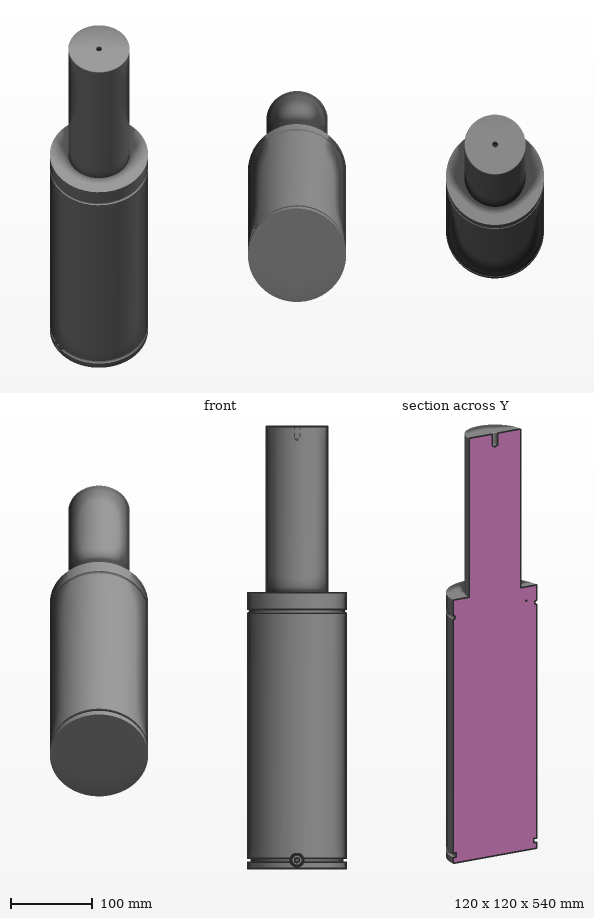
import cadquery as cq
import math

total_height = 540.0
body_diameter = 120.0
body_height = 337.0
rod_diameter = 75.0
rod_end_fillet = 1.0

lower_groove_bottom = 8.0
lower_groove_width = 5.0
lower_groove_depth = 4.0

upper_groove_top = 317.0
upper_groove_width = 5.0

rod_hole_diameter = 6.8
rod_hole_mouth_diameter = 8.0
rod_hole_depth = 15.0
drill_tip_angle = 118.0

port_height = lower_groove_bottom + lower_groove_width / 2
port_diameter = 16.0
port_depth = 5.0

plug_diameter = 14.0
plug_recess = 0.5
plug_chamfer = 0.5
socket_across_flats = 5.0
socket_depth = 3.0

body_radius = body_diameter / 2


def revolve_about_z(section):
    """Full turn about the Z axis of a closed list of (radius, height) points."""
    return cq.Workplane("XZ").polyline(section).close().revolve(360, (0, 0, 0), (0, 1, 0))


def body_and_rod():
    body = cq.Workplane("XY").circle(body_radius).extrude(body_height)
    rod = cq.Workplane("XY").circle(rod_diameter / 2).extrude(total_height)
    rod = rod.faces(">Z").edges().fillet(rod_end_fillet)
    return body.union(rod)


def lower_groove():
    floor_radius = body_radius - lower_groove_depth
    ring = cq.Workplane("XY").workplane(offset=lower_groove_bottom)
    return ring.circle(body_radius).circle(floor_radius).extrude(lower_groove_width)


def upper_groove():
    """Ring of round section centred on the body surface, so that half of it cuts the body."""
    radius = upper_groove_width / 2
    section = cq.Workplane("XZ").center(body_radius, upper_groove_top - radius).circle(radius)
    return section.revolve(360, (-body_radius, 0, 0), (-body_radius, 1, 0))


def rod_hole():
    """Blind drilled hole with a 45 degree flare at its mouth and a conical end."""
    radius = rod_hole_diameter / 2
    mouth_radius = rod_hole_mouth_diameter / 2
    flare_end_z = total_height - (mouth_radius - radius)
    tip_start_z = total_height - rod_hole_depth
    tip_length = radius / math.tan(math.radians(drill_tip_angle / 2))
    return revolve_about_z([
        (0, total_height),
        (mouth_radius, total_height),
        (radius, flare_end_z),
        (radius, tip_start_z),
        (0, tip_start_z - tip_length),
    ])


def port_plane(depth):
    """Sketch plane across the port axis, facing -Y, at a depth inside the body's -Y extreme."""
    return cq.Workplane("XZ", origin=(0, depth - body_radius, port_height))


def port():
    return port_plane(port_depth).circle(port_diameter / 2).extrude(port_depth)


def plug():
    stem = port_plane(port_depth).circle(plug_diameter / 2).extrude(port_depth - plug_recess)
    stem = stem.faces("<Y").edges().chamfer(plug_chamfer)
    across_corners = socket_across_flats / math.cos(math.pi / 6)
    socket_floor = port_plane(plug_recess + socket_depth).transformed(rotate=(0, 0, 30))
    socket = socket_floor.polygon(6, across_corners).extrude(socket_depth)
    return stem.cut(socket)


result = body_and_rod()
for cutter in (lower_groove(), upper_groove(), rod_hole(), port()):
    result = result.cut(cutter)
result = result.union(plug())